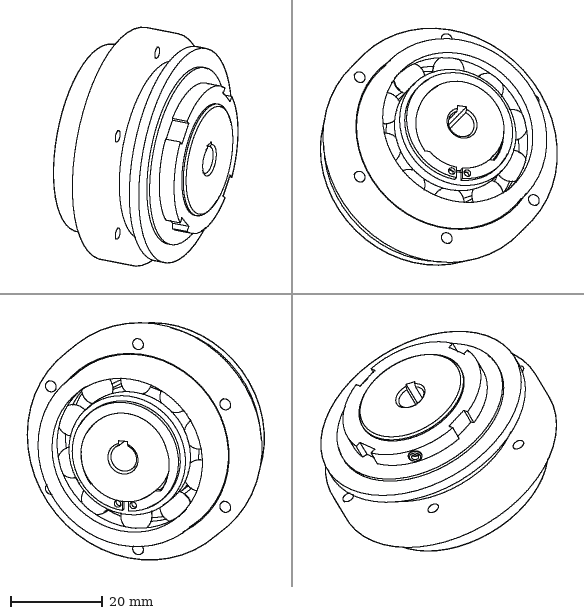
import cadquery as cq

clip_start = 1.55
bearing_start = 2.75
bearing_width = 12.0
bearing_end = bearing_start + bearing_width
flange_start = 9.8
flange_end = 18.3
pilot_start = 18.5
pilot_end = 22.4
plate_start = 22.85
plate_end = 25.1
shoulder_end = 25.8
nut_end = 30.15
total_length = 31.0

hub_diameter = 19.9
clip_diameter = 24.8
inner_ring_diameter = 27.2
outer_ring_bore = 35.1
outer_ring_diameter = 42.0
flange_diameter = 52.0
neck_diameter = 37.9
pilot_diameter = 40.0
plate_diameter = 48.0
shoulder_diameter = 39.6
thread_diameter = 25.0

edge_radius = 0.45
outer_ring_fillet = 0.6
thread_chamfer = 0.45
inner_ring_chamfer = 0.55

ball_count = 10
ball_diameter = 6.9
groove_diameter = 6.75
pitch_radius = (inner_ring_diameter + outer_ring_bore) / 4
bearing_middle = bearing_start + bearing_width / 2
floor_cone_diameter = 29.0
floor_cone_depth = (floor_cone_diameter - inner_ring_diameter) / 2

clip_opening_radius = 10.25
clip_opening_drop = 0.85
lug_top = 7.05
clip_gap = 1.4
lug_hole_diameter = 1.5
lug_hole_spacing = 3.65
lug_hole_drop = 10.95

flange_hole_count = 6
flange_hole_diameter = 2.5
flange_hole_radius = 23.5
seat_chamfer = 0.25

nut_diameter = 33.0
nut_face_diameter = 27.55
nut_cone_length = 0.8
nut_slot_count = 4
nut_slot_width = 5.0
nut_slot_floor = 15.1

screw_diameter = 3.0
screw_reach = 16.95
screw_chamfer = 0.25
screw_socket_diameter = 1.5
screw_socket_depth = 1.05
screw_length = 3.1
screw_station = 28.4

bore_diameter = 6.0
bore_chamfer = 0.5
keyway_width = 2.1
keyway_top = 4.0


def disc(start, end, diameter):
    """Solid disc on the X axis between two stations."""
    return cq.Workplane("YZ", origin=(start, 0, 0)).circle(diameter / 2).extrude(end - start)


def cone(start, end, start_diameter, end_diameter):
    """Conical frustum on the X axis."""
    outline = [
        (start, 0),
        (start, start_diameter / 2),
        (end, end_diameter / 2),
        (end, 0),
    ]
    return cq.Workplane("XY").polyline(outline).close().revolve(360, (0, 0, 0), (1, 0, 0))


def around_axis(shape, count, first_angle=0):
    """Combine evenly spaced copies of a shape turned about the X axis."""
    copies = cq.Workplane("XY")
    for i in range(count):
        copies.add(shape.rotate((0, 0, 0), (1, 0, 0), first_angle + i * 360 / count).val())
    return copies.combine()


def make_housing():
    """Stepped outer body from the bearing outer ring, in its chamfered seat, to the rear shoulder."""
    outer_ring = disc(bearing_start, flange_start, outer_ring_diameter)
    outer_ring = outer_ring.faces("<X").edges().fillet(outer_ring_fillet)
    flange = disc(flange_start, flange_end, flange_diameter).edges().fillet(edge_radius)
    hole = disc(flange_start, flange_end, flange_hole_diameter)
    hole = hole.translate((0, 0, flange_hole_radius))
    flange = flange.cut(around_axis(hole, flange_hole_count))
    seat_bottom = flange_start + seat_chamfer
    seat_mouth_diameter = outer_ring_diameter + 2 * seat_chamfer
    flange = flange.cut(cone(flange_start, seat_bottom, seat_mouth_diameter, outer_ring_diameter))
    outer_ring = outer_ring.union(disc(flange_start, seat_bottom, outer_ring_diameter))
    neck = disc(flange_end, plate_start, neck_diameter)
    pilot = disc(pilot_start, pilot_end, pilot_diameter)
    plate = disc(plate_start, plate_end, plate_diameter)
    shoulder = disc(plate_end, shoulder_end, shoulder_diameter)
    return outer_ring.union(flange).union(neck).union(pilot).union(plate).union(shoulder)


def make_bearing_space():
    """Open space between the rings, with a ball groove in each ring and a coned floor."""
    floor_end = bearing_end + floor_cone_depth
    space = disc(bearing_start, bearing_end, outer_ring_bore)
    space = space.union(cone(bearing_end, floor_end, floor_cone_diameter, inner_ring_diameter))
    space = space.cut(disc(bearing_start, floor_end, inner_ring_diameter))
    groove = (
        cq.Workplane("XY")
        .center(bearing_middle, pitch_radius)
        .circle(groove_diameter / 2)
        .revolve(360, (0, -pitch_radius, 0), (1, -pitch_radius, 0))
    )
    return space.union(groove)


def make_balls():
    """Ring of balls seated slightly into the ring grooves."""
    ball = cq.Workplane("YZ").sphere(ball_diameter / 2)
    return around_axis(ball.translate((bearing_middle, 0, pitch_radius)), ball_count)


def make_clip():
    """Retaining clip with a low-set opening and two pierced lugs either side of a gap."""
    clip_width = bearing_start - clip_start
    clip = disc(clip_start, bearing_start, clip_diameter)
    opening = disc(clip_start, bearing_start, 2 * clip_opening_radius)
    opening = opening.translate((0, 0, -clip_opening_drop))
    below_lugs = cq.Workplane("XY").box(total_length, clip_diameter, clip_diameter)
    opening = opening.cut(below_lugs.translate((0, 0, -lug_top - clip_diameter / 2)))
    gap = cq.Workplane("XY").box(clip_width, clip_gap, clip_diameter)
    gap = gap.translate((clip_start + clip_width / 2, 0, -clip_diameter / 2))
    clip = clip.cut(opening).cut(gap)
    for side in (-1, 1):
        hole = disc(clip_start, bearing_start, lug_hole_diameter)
        clip = clip.cut(hole.translate((0, side * lug_hole_spacing / 2, -lug_hole_drop)))
    return clip


def make_inner_ring_chamfer():
    """Wedge-shaped recess where the chamfered inner ring meets the hub."""
    chamfer_end = bearing_start + inner_ring_chamfer
    mouth_diameter = hub_diameter + 2 * inner_ring_chamfer
    recess = cone(bearing_start, chamfer_end, mouth_diameter, hub_diameter)
    return recess.cut(disc(bearing_start, chamfer_end, hub_diameter))


def make_nut():
    """Slotted lock nut with a coned inner face and a set screw in its rim."""
    cone_end = shoulder_end + nut_cone_length
    nut = cone(shoulder_end, cone_end, nut_face_diameter, nut_diameter)
    nut = nut.union(disc(cone_end, nut_end, nut_diameter))
    nut_width = nut_end - shoulder_end
    slot = cq.Workplane("XY").box(nut_width, nut_slot_width, nut_diameter)
    slot = slot.translate((shoulder_end + nut_width / 2, 0, nut_slot_floor + nut_diameter / 2))
    nut = nut.cut(around_axis(slot, nut_slot_count, 180 / nut_slot_count))

    screw = cq.Workplane("XY", origin=(screw_station, 0, -screw_reach))
    screw = screw.circle(screw_diameter / 2).extrude(screw_length)
    screw = screw.faces("<Z").edges().chamfer(screw_chamfer)
    socket = cq.Workplane("XY", origin=(screw_station, 0, -screw_reach))
    socket = socket.circle(screw_socket_diameter / 2).extrude(screw_socket_depth)
    return nut.union(screw).cut(socket)


def make_bore():
    """Through bore chamfered at both ends, with a keyway at the top."""
    mouth_diameter = bore_diameter + 2 * bore_chamfer
    bore = disc(0, total_length, bore_diameter)
    bore = bore.union(cone(0, bore_chamfer, mouth_diameter, bore_diameter))
    bore = bore.union(cone(total_length - bore_chamfer, total_length, bore_diameter, mouth_diameter))
    keyway = cq.Workplane("XY").box(total_length, keyway_width, keyway_top)
    return bore.union(keyway.translate((total_length / 2, 0, keyway_top / 2)))


hub = disc(0, bearing_end, hub_diameter).faces("<X").edges().fillet(edge_radius)
threaded_end = disc(plate_end, total_length, thread_diameter).faces(">X").edges().chamfer(thread_chamfer)

result = make_housing().cut(make_bearing_space()).cut(make_inner_ring_chamfer())
result = result.union(hub).union(threaded_end).union(make_clip()).union(make_nut())
result = result.union(make_balls()).cut(make_bore())